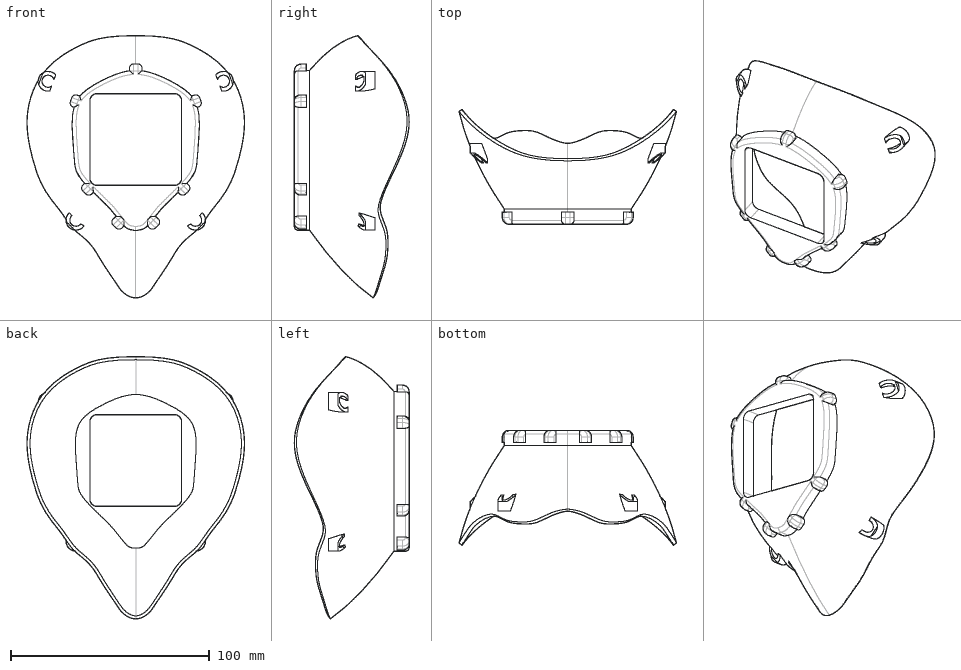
import cadquery as cq
import math


HALF_WIDTH = 54.725
DEPTH = 57.84
TOP_Z = 52.3
BOTTOM_Z = -79.74
HALF_SPACE = 400.0

PLATE_DEPTH = 7.7
PLATE_ROUND = 2.0
WINDOW = 46.0
WINDOW_ROUND = 3.5
PLATE_TOP_Z = 34.8
PLATE_BOTTOM_Z = -45.7

WALL = 1.6
RIM_STEP = 1.1
BULGE = 2.8

STATIONS = [
    ((0, PLATE_TOP_Z), (0, 33.0, TOP_Z)),
    ((12.5, 31.8), (21.7, 35.4, 49.9)),
    ((18.5, 28.9), (29.4, 38.2, 46.7)),
    ((29.4, 20.0), (50.3, 52.9, 27.6)),
    ((32.0, 6.0), (HALF_WIDTH, DEPTH, 10.1)),
    ((31.0, -9.0), (51.7, 52.9, -10.5)),
    ((29.9, -15.9), (48.5, 48.5, -20.1)),
    ((27.2, -20.3), (43.0, 44.5, -29.6)),
    ((24.0, -23.9), (38.0, 43.3, -36.0)),
    ((18.5, -29.3), (31.0, 46.2, -45.3)),
    ((13.8, -33.9), (23.6, 47.2, -51.9)),
    ((10.2, -38.2), (17.1, 46.5, -61.5)),
    ((7.0, -42.2), (10.9, 43.7, -71.0)),
    ((4.0, -44.9), (5.8, 41.8, -77.4)),
    ((0, PLATE_BOTTOM_Z), (0, 40.8, BOTTOM_Z)),
]

TAB_WIDTH = 6.3
TAB_LENGTH = 6.1
TAB_REACH = 3.2
TAB_ROOT = 2.5
TAB_NOSE_ROUND = 3.5
TAB_SIDE_ROUND = 2.1
TABS = [
    (0, PLATE_TOP_Z, 90),
    (29.5, 19.0, 20),
    (23.6, -24.4, -45),
    (8.4, -41.5, -45),
]

SOCKET_RADIUS = 5.0
SOCKET_BORE_RADIUS = 3.05
SOCKET_BACK_Y = 40.7
SOCKET_OUTER_Y = 35.8
SOCKET_INNER_Y = 30.8
SOCKET_LEDGE = 3.9
SOCKET_FLAT = 2.5
SOCKETS = [
    (44.1, 29.3, 20),
    (30.1, -40.6, -45),
]


def inset_points(points, distance):
    """Move half-outline points inwards in XZ, square to the outline."""
    moved = []
    last = len(points) - 1
    for i, (x, y, z) in enumerate(points):
        if i in (0, last):
            moved.append((0, y, z - distance if i == 0 else z + distance))
            continue
        before = points[i - 1]
        after = points[i + 1]
        dx = after[0] - before[0]
        dz = after[2] - before[2]
        length = math.hypot(dx, dz)
        moved.append((x + distance * dz / length, y, z - distance * dx / length))
    return moved


def bowed_points(base, rim):
    """Points half way between base and rim, pushed outwards by the bulge."""
    middle = []
    for (bx, by, bz), (rx, ry, rz) in zip(base, rim):
        spread = math.hypot(rx - bx, rz - bz)
        middle.append((
            (bx + rx) / 2 + BULGE * (rx - bx) / spread,
            (by + ry) / 2,
            (bz + rz) / 2 + BULGE * (rz - bz) / spread,
        ))
    return middle


def closed_wire(half):
    """Smooth closed outline through a half outline and its mirror image."""
    mirrored = [(-x, y, z) for x, y, z in reversed(half[1:-1])]
    start = len(mirrored) // 2
    ring = mirrored[start:] + half + mirrored[:start]
    points = [cq.Vector(*p) for p in ring]
    return cq.Wire.assembleEdges([cq.Edge.makeSpline(points, periodic=True)])


def skin(*outlines, ruled=False):
    """Open surface through a row of closed outlines."""
    return cq.occ_impl.shapes.loft([closed_wire(o) for o in outlines], ruled=ruled).Faces()


def solid_from(faces):
    """Solid bounded by faces that share their edges."""
    return cq.Workplane(cq.occ_impl.shapes.solid(cq.occ_impl.shapes.shell(faces)).fix())


plate_outline = [(x, PLATE_DEPTH, z) for (x, z), _ in STATIONS]
outer_rim = [(x, y - RIM_STEP, z) for _, (x, y, z) in STATIONS]
inner_base = inset_points(plate_outline, WALL)
inner_rim = inset_points([rim for _, rim in STATIONS], WALL)
outer_skin = skin(plate_outline, bowed_points(plate_outline, outer_rim), outer_rim)
inner_skin = skin(inner_base, bowed_points(inner_base, inner_rim), inner_rim)


def make_wall():
    """The flared shell from the back of the plate to the rim."""
    base_strip = skin(plate_outline, inner_base, ruled=True)
    rim_strip = skin(outer_rim, inner_rim, ruled=True)
    return solid_from([*outer_skin, *inner_skin, *base_strip, *rim_strip])


def make_cavity():
    """The space inside the wall, closed by a film across the rim."""
    rim_cap = cq.occ_impl.shapes.fill(closed_wire(inner_rim))
    base_cap = cq.Face.makeFromWires(closed_wire(inner_base))
    return solid_from([*inner_skin, rim_cap, base_cap])


def make_plate():
    """Flat front plate with a rounded front edge and the window."""
    face = cq.Face.makeFromWires(closed_wire(plate_outline))
    plate = cq.Workplane(cq.Solid.extrudeLinear(face, cq.Vector(0, -PLATE_DEPTH, 0)))
    plate = plate.faces("<Y").edges().fillet(PLATE_ROUND)
    window = cq.Workplane("XZ").rect(WINDOW, WINDOW).extrude(-PLATE_DEPTH).edges("|Y").fillet(WINDOW_ROUND)
    return plate.cut(window)


def placed(shape, x, z, angle):
    """Turn a shape made with its outward side at +X and move it to (x, z)."""
    return shape.rotate((0, 0, 0), (0, 1, 0), -angle).translate((x, 0, z))


def make_tab():
    """Tab pointing along +X with a rounded nose and rounded long edges."""
    tab = cq.Workplane().box(TAB_ROOT + TAB_REACH, TAB_LENGTH, TAB_WIDTH, centered=(False, False, True))
    tab = tab.translate((-TAB_ROOT, 0, 0))
    tab = tab.edges(">X and <Y").fillet(TAB_NOSE_ROUND)
    return tab.faces(">X").edges("|Y").fillet(TAB_SIDE_ROUND)


def make_socket():
    """Tube along Y with a slanted front face and a flat on the side that sinks into the wall."""
    tube = cq.Workplane("XZ").circle(SOCKET_RADIUS).circle(SOCKET_BORE_RADIUS).extrude(-SOCKET_BACK_Y)
    side = (
        cq.Workplane("XY")
        .moveTo(SOCKET_RADIUS, SOCKET_BACK_Y)
        .lineTo(SOCKET_RADIUS, SOCKET_OUTER_Y)
        .lineTo(SOCKET_LEDGE, SOCKET_OUTER_Y)
        .lineTo(-SOCKET_FLAT, SOCKET_INNER_Y)
        .lineTo(-SOCKET_FLAT, SOCKET_BACK_Y)
        .close()
        .extrude(SOCKET_RADIUS, both=True)
    )
    return tube.intersect(side)


def symmetric(solid):
    """Keep the +X half and mirror it."""
    half_space = cq.Workplane().box(HALF_SPACE, HALF_SPACE, HALF_SPACE, centered=(False, True, True))
    half = solid.intersect(half_space)
    return half.union(half.mirror("YZ"))


cavity = make_cavity()
tab = make_tab()
socket = make_socket()
body = make_plate().union(make_wall())
for x, z, angle in TABS:
    body = body.union(placed(tab, x, z, angle))
for x, z, angle in SOCKETS:
    body = body.union(placed(socket, x, z, angle).cut(cavity))
result = symmetric(body)